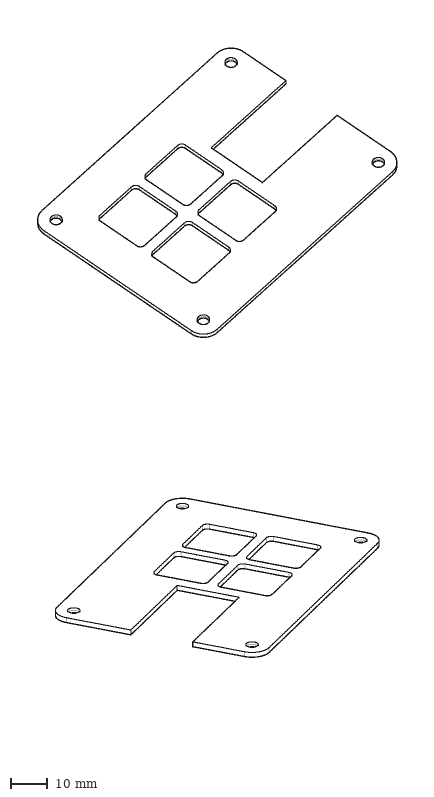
import cadquery as cq

plate_width = 62.9
plate_length = 82.3
plate_thickness = 1.5
corner_radius = 5.0

mount_hole_diameter = 3.4

notch_width = 18.35
notch_depth = 30.9
notch_center_x = -1.9

window_size = 16.0
window_pitch = 19.0
window_corner_radius = 1.5
window_grid_x = -1.0
window_grid_y = -11.1


def make_plate():
    return (
        cq.Workplane("XY")
        .box(plate_width, plate_length, plate_thickness)
        .edges("|Z")
        .fillet(corner_radius)
    )


def make_mount_holes():
    return (
        cq.Workplane("XY")
        .rect(plate_width - 2 * corner_radius, plate_length - 2 * corner_radius, forConstruction=True)
        .vertices()
        .circle(mount_hole_diameter / 2)
        .extrude(plate_thickness, both=True)
    )


def make_notch():
    notch_center_y = plate_length / 2 - notch_depth / 2
    return (
        cq.Workplane("XY")
        .center(notch_center_x, notch_center_y)
        .rect(notch_width, notch_depth)
        .extrude(plate_thickness, both=True)
    )


def make_windows():
    return (
        cq.Workplane("XY")
        .center(window_grid_x, window_grid_y)
        .rarray(window_pitch, window_pitch, 2, 2)
        .rect(window_size, window_size)
        .extrude(plate_thickness, both=True)
        .edges("|Z")
        .fillet(window_corner_radius)
    )


result = make_plate().cut(make_mount_holes()).cut(make_notch()).cut(make_windows())